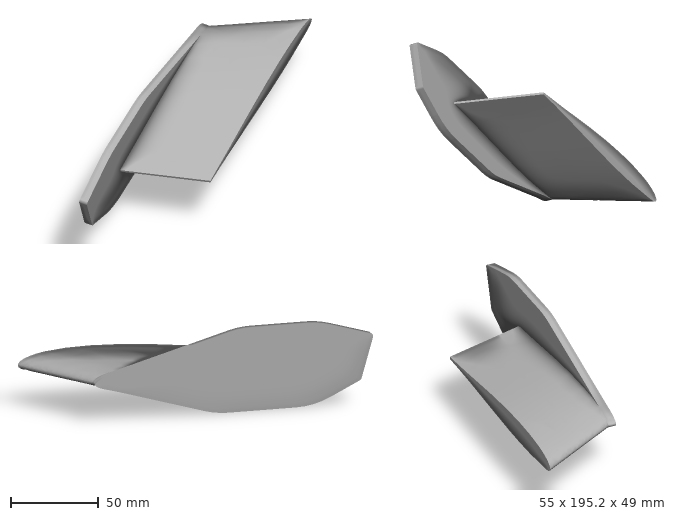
import cadquery as cq

span_end = 55.0
plate_thickness = 4.9
plate_height = 49.0
plate_nose_y = 166.0
nose_z = 22.5

root_nose_y = 165.7
root_tail_y = 44.5
end_nose_y = 195.2
end_tail_y = 59.0
tail_half_thickness = 0.005

upper_stations = [(0.01, 0.017), (0.03, 0.029), (0.08, 0.045), (0.15, 0.056), (0.28, 0.063), (0.6, 0.046)]
lower_stations = [(0.01, -0.013), (0.03, -0.02), (0.08, -0.025), (0.15, -0.03), (0.28, -0.034), (0.6, -0.022)]

front_end_y = -0.33
bend_radius = 48.8
corner_radius = 1.5
nose_flank_y = 153.2
nose_flank_top_z = 28.5
nose_flank_bottom_z = 17.5
nose_shoulder_y = 162.0
nose_shoulder_top_z = 25.8
nose_shoulder_bottom_z = 20.0
top_bend_rear_y = 78.5
top_bend_front_y = 31.6
bottom_bend_rear_y = 93.7
bottom_bend_front_y = 35.1
end_top_z = 39.6
end_bottom_y = 7.2
end_bottom_z = 13.5


def make_plate():
    """Flat end plate with broad bends, small end corners and a rounded nose."""
    bottom_flank = (nose_flank_y - bottom_bend_rear_y, nose_flank_bottom_z)
    top_flank = (top_bend_rear_y - nose_flank_y, plate_height - nose_flank_top_z)
    outline = (
        cq.Workplane("YZ")
        .moveTo(nose_flank_y, nose_flank_top_z)
        .lineTo(top_bend_rear_y, plate_height)
        .lineTo(top_bend_front_y, plate_height)
        .lineTo(front_end_y, end_top_z)
        .lineTo(end_bottom_y, end_bottom_z)
        .lineTo(bottom_bend_front_y, 0)
        .lineTo(bottom_bend_rear_y, 0)
        .lineTo(nose_flank_y, nose_flank_bottom_z)
        .spline(
            [
                (nose_shoulder_y, nose_shoulder_bottom_z),
                (plate_nose_y, nose_z),
                (nose_shoulder_y, nose_shoulder_top_z),
                (nose_flank_y, nose_flank_top_z),
            ],
            tangents=[bottom_flank, top_flank],
            includeCurrent=True,
        )
        .close()
    )
    plate = outline.extrude(plate_thickness)
    bends = [
        (top_bend_rear_y, plate_height, bend_radius),
        (top_bend_front_y, plate_height, bend_radius),
        (bottom_bend_front_y, 0, bend_radius),
        (bottom_bend_rear_y, 0, bend_radius),
        (front_end_y, end_top_z, corner_radius),
        (end_bottom_y, end_bottom_z, corner_radius),
    ]
    for y, z, radius in bends:
        edge = plate.edges(cq.selectors.NearestToPointSelector((plate_thickness / 2, y, z)))
        plate = edge.fillet(radius)
    return plate


def blade_section(x, nose_y, tail_y):
    """Closed aerofoil wire with a blunt tail, in the plane at the given X."""
    chord = nose_y - tail_y

    def point(station):
        behind, above = station
        return cq.Vector(x, nose_y - behind * chord, nose_z + above * chord)

    tail_top = (1, tail_half_thickness)
    tail_bottom = (1, -tail_half_thickness)
    stations = [tail_top, *reversed(upper_stations), (0, 0), *lower_stations, tail_bottom]
    skin = cq.Edge.makeSpline([point(station) for station in stations])
    tail = cq.Edge.makeLine(point(tail_bottom), point(tail_top))
    return cq.Wire.assembleEdges([skin, tail])


def make_blade():
    """Swept-back blade, straight-lined from the plate face to its free end."""
    root = blade_section(plate_thickness, root_nose_y, root_tail_y)
    end = blade_section(span_end, end_nose_y, end_tail_y)
    return cq.Workplane(cq.Solid.makeLoft([root, end], True))


result = make_plate().union(make_blade())